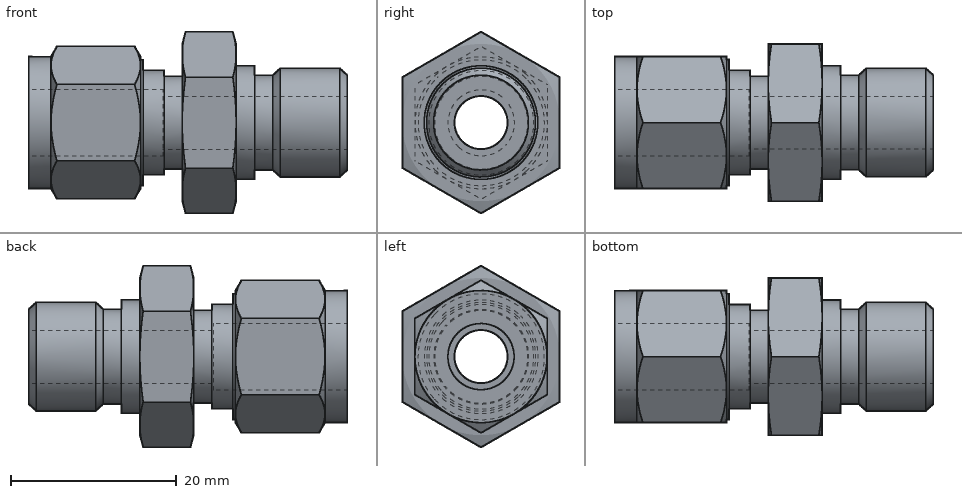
import cadquery as cq
import math

total_length = 38.5

collar_diameter = 15.98
collar_length = 2.7
nut_across_flats = 15.98
nut_length = 10.8
nut_chamfer_angle = 30.0
washer_face_diameter = 15.25
washer_face_length = 0.3

shoulder_diameter = 12.65
shoulder_length = 2.55
neck_diameter = 11.25
neck_length = 2.2

body_across_flats = 19.0
body_hex_length = 6.5
body_chamfer_angle = 15.0

seal_collar_diameter = 13.75
seal_collar_length = 2.25
relief_diameter = 11.47
relief_length = 2.2
thread_diameter = 13.15
thread_chamfer_length = 0.92

through_bore_diameter = 6.4
tube_bore_diameter = 8.0
tube_bore_depth = 16.17

nut_start = collar_length
nut_end = nut_start + nut_length
shoulder_start = nut_end + washer_face_length
neck_start = shoulder_start + shoulder_length
body_hex_start = neck_start + neck_length
body_hex_end = body_hex_start + body_hex_length
relief_start = body_hex_end + seal_collar_length
thread_start = relief_start + relief_length


def cylinder(start, end, diameter):
    """Round bar along X between two stations."""
    return cq.Workplane("YZ", origin=(start, 0, 0)).circle(diameter / 2).extrude(end - start)


def chamfered_hexagon(start, end, across_flats, chamfer_angle):
    """Hexagon along X, corners up and down, with both ends turned to a cone.

    Each cone meets the end face in the circle that touches all six flats.
    """
    corner_radius = across_flats / math.sqrt(3)
    face_radius = across_flats / 2
    chamfer_length = (corner_radius - face_radius) * math.tan(math.radians(chamfer_angle))
    hexagon = (
        cq.Workplane("YZ", origin=(start, 0, 0))
        .polygon(6, 2 * corner_radius)
        .extrude(end - start)
        .rotate((0, 0, 0), (1, 0, 0), 90)
    )
    turned_blank = (
        cq.Workplane("XY")
        .moveTo(start, 0)
        .lineTo(start, face_radius)
        .lineTo(start + chamfer_length, corner_radius)
        .lineTo(end - chamfer_length, corner_radius)
        .lineTo(end, face_radius)
        .lineTo(end, 0)
        .close()
        .revolve(360, (0, 0, 0), (1, 0, 0))
    )
    return hexagon.intersect(turned_blank)


def threaded_end():
    """Plain thread cylinder, both ends tapering down to the relief diameter."""
    thread_radius = thread_diameter / 2
    relief_radius = relief_diameter / 2
    return (
        cq.Workplane("XY")
        .moveTo(thread_start, 0)
        .lineTo(thread_start, relief_radius)
        .lineTo(thread_start + thread_chamfer_length, thread_radius)
        .lineTo(total_length - thread_chamfer_length, thread_radius)
        .lineTo(total_length, relief_radius)
        .lineTo(total_length, 0)
        .close()
        .revolve(360, (0, 0, 0), (1, 0, 0))
    )


nut = (
    cylinder(0, nut_start, collar_diameter)
    .union(chamfered_hexagon(nut_start, nut_end, nut_across_flats, nut_chamfer_angle))
    .union(cylinder(nut_end, shoulder_start, washer_face_diameter))
)

body = (
    cylinder(shoulder_start, neck_start, shoulder_diameter)
    .union(cylinder(neck_start, body_hex_start, neck_diameter))
    .union(chamfered_hexagon(
        body_hex_start, body_hex_end, body_across_flats, body_chamfer_angle
    ))
    .union(cylinder(body_hex_end, relief_start, seal_collar_diameter))
    .union(cylinder(relief_start, thread_start, relief_diameter))
    .union(threaded_end())
)

result = (
    nut.union(body)
    .cut(cylinder(0, total_length, through_bore_diameter))
    .cut(cylinder(0, tube_bore_depth, tube_bore_diameter))
)